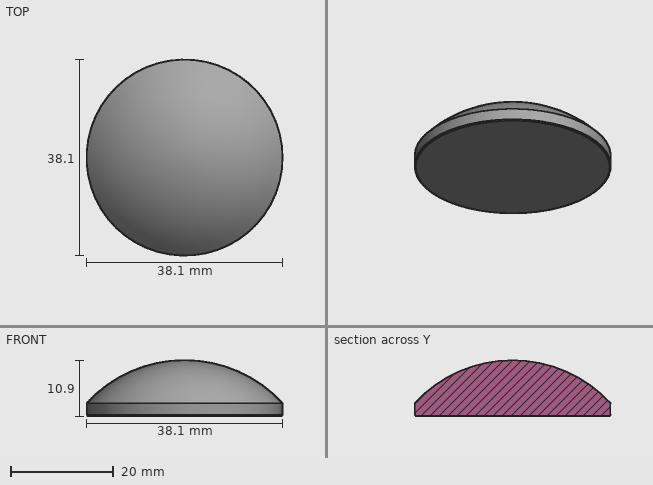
import cadquery as cq
import math

diameter = 38.1
total_height = 10.9
edge_height = 2.5
bottom_chamfer = 0.23

radius = diameter / 2
dome_height = total_height - edge_height
sphere_radius = (radius**2 + dome_height**2) / (2 * dome_height)
sphere_center_z = total_height - sphere_radius

mid_radius = radius / 2
mid_height = sphere_center_z + math.sqrt(sphere_radius**2 - mid_radius**2)

half_section = (
    cq.Workplane("XZ")
    .moveTo(0, 0)
    .lineTo(radius - bottom_chamfer, 0)
    .lineTo(radius, bottom_chamfer)
    .lineTo(radius, edge_height)
    .threePointArc((mid_radius, mid_height), (0, total_height))
    .close()
)

result = half_section.revolve(360, (0, 0, 0), (0, 1, 0))